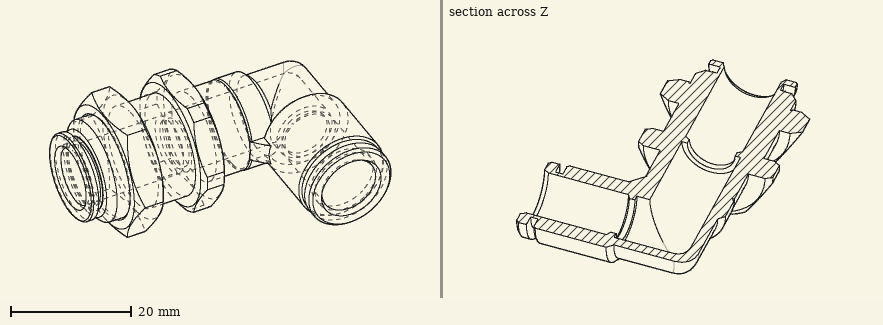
import cadquery as cq
import math

elbow_radius = 7.0
corner_roundness = 0.55
corner_direction = 135.0

x_end = 24.15
x_sleeve_radius = 8.0
x_sleeve_start = 6.9
x_sleeve_end = 20.95
x_sleeve_chamfer = 0.4
x_neck_radius = 5.8
x_collar_radius = 7.75
x_collar_start = 22.2
x_collar_chamfer = 0.5

y_end = 40.1
shoulder_radius = 8.0
shoulder_start = 5.0
shoulder_end = 10.4
shoulder_chamfer = 0.4
shank_radius = 7.9
thread_radius = 9.0
thread_end = 37.35
thread_chamfer = 1.3
lip_radius = 6.5
lip_length = 0.1
y_neck_radius = 5.7
y_collar_radius = 7.75
y_collar_start = 38.85
y_collar_chamfer = 0.3

across_flats = 22.0
hex_corner_radius = across_flats / math.sqrt(3)
flange_start = 16.8
flange_end = 21.3
flange_corner_radius = 12.0
nut_start = 28.3
nut_end = 33.8
hex_face_radius = 10.85
hex_chamfer_angle = 30.0
nut_countersink = 0.3

tube_radius = 5.05
mouth_radius = 5.6
mouth_depth = 0.9
throat_radius = 4.25
stop_cone_angle = 30.0
throat_length = 1.0
passage_radius = 5.2
x_tube_stop = 8.5
y_tube_stop = 21.0

web_reach = 18.05
web_thickness = 3.9


def turned(points, along_x=False):
    """Revolve (distance, radius) points about the stem axis, or about the X arm."""
    profile = [(radius, -distance) for distance, radius in points]
    solid = cq.Workplane("XY").polyline(profile).close().revolve(360, (0, 0), (0, 1))
    if along_x:
        solid = solid.rotate((0, 0, 0), (0, 0, 1), 90)
    return solid


def mirrored_arm(body):
    """Swap the two arms: (x, y) becomes (-y, -x)."""
    return body.mirror("YZ").rotate((0, 0, 0), (0, 0, 1), 90)


def prism(points, height):
    """Extrude an XY outline equally above and below Z = 0."""
    return cq.Workplane("XY").polyline(points).close().extrude(height / 2, both=True)


def rounded_elbow(radius, length_x, length_y):
    """Mitred elbow whose outer corner is an ellipsoid tangent to both arms."""
    tangent = corner_roundness * radius

    def arm(length):
        cylinder = cq.Workplane("YZ").circle(radius).extrude(length + radius)
        cylinder = cylinder.translate((-radius, 0, 0))
        kept = [(0, 0), (0, -radius), (length, -radius), (length, radius), (-tangent, radius)]
        clear_height = 3 * radius
        return cylinder.intersect(prism(kept, clear_height))

    long_scale = math.sqrt(1 + corner_roundness)
    short_scale = math.sqrt(1 - corner_roundness)
    half_angle = math.degrees(math.atan2(short_scale, long_scale))
    half_disc = cq.Workplane("XZ").moveTo(0, -radius).threePointArc((radius, 0), (0, radius)).close()
    wedge = half_disc.revolve(2 * half_angle, (0, 0), (0, 1))
    wedge = wedge.rotate((0, 0, 0), (0, 0, 1), -half_angle).val()
    stretch = cq.Matrix([
        [long_scale, 0, 0, 0],
        [0, short_scale, 0, 0],
        [0, 0, 1, 0],
    ])
    corner = cq.Workplane(wedge.transformGeometry(stretch)).rotate((0, 0, 0), (0, 0, 1), corner_direction)
    return arm(length_x).union(mirrored_arm(arm(length_y))).union(corner)


def x_sleeve():
    """Sleeve, neck and release collar of the X arm."""
    return turned([
        (x_sleeve_start, 0),
        (x_sleeve_start, elbow_radius),
        (x_sleeve_start + x_sleeve_radius - elbow_radius, x_sleeve_radius),
        (x_sleeve_end - x_sleeve_chamfer, x_sleeve_radius),
        (x_sleeve_end, x_sleeve_radius - x_sleeve_chamfer),
        (x_sleeve_end, x_neck_radius),
        (x_collar_start, x_neck_radius),
        (x_collar_start, x_collar_radius),
        (x_end - x_collar_chamfer, x_collar_radius),
        (x_end, x_collar_radius - x_collar_chamfer),
        (x_end, 0),
    ], along_x=True)


def stem():
    """Shoulder, shank, threaded length, neck and release collar along -Y."""
    return turned([
        (shoulder_start, 0),
        (shoulder_start, elbow_radius),
        (shoulder_start + shoulder_radius - elbow_radius, shoulder_radius),
        (shoulder_end - shoulder_chamfer, shoulder_radius),
        (shoulder_end, shoulder_radius - shoulder_chamfer),
        (shoulder_end, shank_radius),
        (flange_start, shank_radius),
        (flange_start, thread_radius),
        (thread_end - thread_chamfer, thread_radius),
        (thread_end, thread_radius - thread_chamfer),
        (thread_end, lip_radius),
        (thread_end + lip_length, lip_radius),
        (thread_end + lip_length, y_neck_radius),
        (y_collar_start, y_neck_radius),
        (y_collar_start, y_collar_radius),
        (y_end - y_collar_chamfer, y_collar_radius),
        (y_end, y_collar_radius - y_collar_chamfer),
        (y_end, 0),
    ])


def chamfered_hexagon(start, end, corner_radius):
    """Hexagon with corners on +X and -X, turned down to corner_radius and chamfered."""
    hexagon = cq.Workplane("XZ").polygon(6, 2 * hex_corner_radius).extrude(end - start)
    hexagon = hexagon.translate((0, -start, 0))
    drop = (corner_radius - hex_face_radius) * math.tan(math.radians(hex_chamfer_angle))
    envelope = turned([
        (start, 0),
        (start, hex_face_radius),
        (start + drop, corner_radius),
        (end - drop, corner_radius),
        (end, hex_face_radius),
        (end, 0),
    ])
    return hexagon.intersect(envelope)


def lock_nut():
    """Full hexagon, countersunk around the thread on its outer face."""
    nut = chamfered_hexagon(nut_start, nut_end, hex_corner_radius)
    countersink = turned([
        (nut_end - nut_countersink, 0),
        (nut_end - nut_countersink, thread_radius),
        (nut_end, thread_radius + nut_countersink),
        (nut_end, 0),
    ])
    return nut.cut(countersink)


def corner_web():
    """Triangular web, its square corner buried inside the elbow."""
    inner = elbow_radius / 2
    outline = [(inner, -inner), (web_reach - inner, -inner), (inner, inner - web_reach)]
    return prism(outline, web_thickness)


def tube_socket(end, stop, along_x=False):
    """Tube bore with a flared mouth and a conical stop, narrowing to the throat."""
    cone_length = (tube_radius - throat_radius) * math.tan(math.radians(stop_cone_angle))
    return turned([
        (end, 0),
        (end, mouth_radius),
        (end - mouth_depth, tube_radius),
        (stop + cone_length, tube_radius),
        (stop, throat_radius),
        (stop - throat_length, throat_radius),
        (stop - throat_length, 0),
    ], along_x)


body = rounded_elbow(elbow_radius, x_sleeve_start, shoulder_start)
body = body.union(corner_web()).union(x_sleeve()).union(stem())
body = body.union(chamfered_hexagon(flange_start, flange_end, flange_corner_radius))
body = body.union(lock_nut())

passage = rounded_elbow(passage_radius, x_tube_stop - throat_length, y_tube_stop - throat_length)
body = body.cut(passage)
body = body.cut(tube_socket(x_end, x_tube_stop, along_x=True))
result = body.cut(tube_socket(y_end, y_tube_stop))